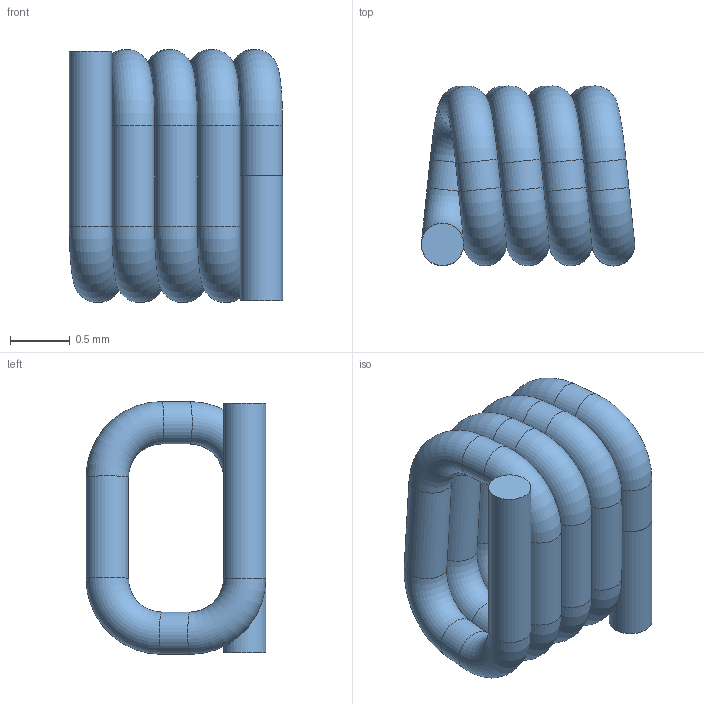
import cadquery as cq
import math

overall_length = 1.78
overall_depth = 1.50
overall_height = 2.11
wire_diameter = 0.354
turn_count = 4
bend_radius = 0.459
lead_reach = 1.043
lead_joint_height = 0.0

wire_radius = wire_diameter / 2
pitch = (overall_length - wire_diameter) / turn_count
first_x = -(overall_length - wire_diameter) / 2
last_x = first_x + turn_count * pitch
front_y = -(overall_depth - wire_diameter) / 2
back_y = -front_y
crest_height = (overall_height - wire_diameter) / 2

advance = pitch / 3


def bend(before, corner, after):
    """Arc of the bend radius that rounds the corner between two straight stretches."""
    to_before = (before - corner).normalized()
    to_after = (after - corner).normalized()
    half_angle = to_before.getAngle(to_after) / 2
    tangent_length = bend_radius / math.tan(half_angle)
    corner_to_arc = bend_radius / math.sin(half_angle) - bend_radius
    bisector = (to_before + to_after).normalized()
    return cq.Edge.makeThreePointArc(
        corner + to_before * tangent_length,
        corner + bisector * corner_to_arc,
        corner + to_after * tangent_length,
    )


def rounded_path(points):
    """Wire through the points, with every inner corner rounded to the bend radius."""
    edges = []
    straight_start = points[0]
    for before, corner, after in zip(points, points[1:], points[2:]):
        arc = bend(before, corner, after)
        edges.append(cq.Edge.makeLine(straight_start, arc.startPoint()))
        edges.append(arc)
        straight_start = arc.endPoint()
    edges.append(cq.Edge.makeLine(straight_start, points[-1]))
    return cq.Wire.assembleEdges(edges)


def make_coil():
    """Wire from the top of its own lead, through all turns, to the tail lead joint."""
    points = [cq.Vector(first_x, front_y, lead_reach)]
    for turn in range(turn_count):
        turn_x = first_x + turn * pitch
        points += [
            cq.Vector(turn_x, front_y, -crest_height),
            cq.Vector(turn_x + advance, back_y, -crest_height),
            cq.Vector(turn_x + 2 * advance, back_y, crest_height),
            cq.Vector(turn_x + pitch, front_y, crest_height),
        ]
    points.append(cq.Vector(last_x, front_y, lead_joint_height))
    section = cq.Workplane("XY", origin=points[0].toTuple()).circle(wire_radius)
    return section.sweep(cq.Workplane(rounded_path(points)))


def make_tail_lead():
    """Straight wire continuing down from the end of the coil."""
    section = cq.Workplane("XY", origin=(last_x, front_y, -lead_reach)).circle(wire_radius)
    return section.extrude(lead_joint_height + lead_reach)


coil = make_coil()
tail_lead = make_tail_lead()

result = cq.Compound.makeCompound([coil.val(), tail_lead.val()])